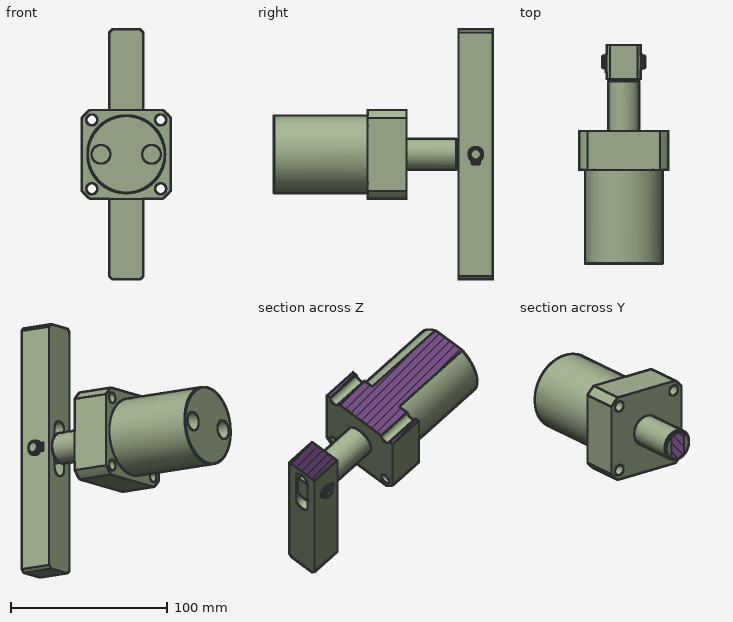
import cadquery as cq


BARREL_DIAMETER = 50.0
BARREL_LENGTH = 60.0
BARREL_CHAMFER = 0.5
FLANGE_SIDE = 57.0
FLANGE_THICKNESS = 25.0
FLANGE_CORNER_DIAMETER = 73.6
MOUNT_HOLE_DIAMETER = 6.9
MOUNT_HOLE_SPACING = 44.0
PORT_DIAMETER = 12.0
PORT_SPACING = 32.3
PORT_DEPTH = 12.0
FLANGE_BACK = BARREL_LENGTH + FLANGE_THICKNESS

TOTAL_LENGTH = 140.0
ARM_LENGTH = 160
ARM_SIDE = 22.0
ARM_CHAMFER = 2.0
SLOT_WIDTH = 10.2
SLOT_LENGTH = 35.8
ARM_FRONT = TOTAL_LENGTH - ARM_SIDE
PIN_SETBACK = 10.9
PIN_Y = TOTAL_LENGTH - PIN_SETBACK

ROD_DIAMETER = 20.0
ROD_CHAMFER = 1.0
ROD_GAP = 0.6
ROD_END = ARM_FRONT - ROD_GAP
TONGUE_DIAMETER = ROD_DIAMETER - 2 * ROD_CHAMFER
TONGUE_LENGTH = PIN_Y + TONGUE_DIAMETER / 2 - ROD_END

PIN_DIAMETER = 8.3
PIN_LENGTH = 27.5
PIN_CHAMFER = 0.8

RING_THICKNESS = 0.8
RING_STARTS = (-ARM_SIDE / 2 - RING_THICKNESS, ARM_SIDE / 2)
LUG_ANGLES = (0, 90)
RING_OUTER_DIAMETER = 9.5
GROOVE_DIAMETER = 7.4
LUG_REACH = 6.5
LUG_WIDTH = 5.5
LUG_CORNER_CHAMFER = 0.6
RECESS_REACH = 5.5
RECESS_WIDTH = 3.4
LUG_GAP = 0.6


def along_y(start):
    """Work plane facing +Y at Y = start, with local x along +X and local y along +Z."""
    return cq.Workplane("XZ", origin=(0, start, 0))


def cylinder_y(diameter, start, length):
    return along_y(start).circle(diameter / 2).extrude(-length)


def make_housing():
    barrel = cylinder_y(BARREL_DIAMETER, 0, BARREL_LENGTH).faces("<Y").chamfer(BARREL_CHAMFER)
    flange = along_y(BARREL_LENGTH).rect(FLANGE_SIDE, FLANGE_SIDE).extrude(-FLANGE_THICKNESS)
    flange = flange.intersect(cylinder_y(FLANGE_CORNER_DIAMETER, BARREL_LENGTH, FLANGE_THICKNESS))
    mount_holes = (
        along_y(BARREL_LENGTH)
        .rect(MOUNT_HOLE_SPACING, MOUNT_HOLE_SPACING, forConstruction=True)
        .vertices()
        .circle(MOUNT_HOLE_DIAMETER / 2)
        .extrude(-FLANGE_THICKNESS)
    )
    ports = (
        along_y(0)
        .pushPoints([(-PORT_SPACING / 2, 0), (PORT_SPACING / 2, 0)])
        .circle(PORT_DIAMETER / 2)
        .extrude(-PORT_DEPTH)
    )
    return barrel.union(flange).cut(mount_holes).cut(ports)


def make_pin_bore():
    """Cylinder across X that clears the pivot pin."""
    return (
        cq.Workplane("YZ", origin=(0, PIN_Y, 0))
        .circle(PIN_DIAMETER / 2)
        .extrude(ARM_SIDE / 2, both=True)
    )


def make_rod():
    shaft = cylinder_y(ROD_DIAMETER, FLANGE_BACK, ROD_END - FLANGE_BACK)
    shaft = shaft.faces(">Y").chamfer(ROD_CHAMFER)
    tongue = cylinder_y(TONGUE_DIAMETER, ROD_END, TONGUE_LENGTH)
    flats = along_y(ROD_END).rect(SLOT_WIDTH, TONGUE_DIAMETER).extrude(-TONGUE_LENGTH)
    return shaft.union(tongue.intersect(flats)).cut(make_pin_bore())


def make_arm():
    bar = (
        along_y(ARM_FRONT)
        .rect(ARM_SIDE, ARM_LENGTH)
        .extrude(-ARM_SIDE)
        .edges("|Y")
        .chamfer(ARM_CHAMFER)
    )
    slot = along_y(ARM_FRONT).slot2D(SLOT_LENGTH, SLOT_WIDTH, 90).extrude(-ARM_SIDE)
    return bar.cut(slot).cut(make_pin_bore())


def make_pin():
    pin = (
        cq.Workplane("YZ", origin=(-PIN_LENGTH / 2, PIN_Y, 0))
        .circle(PIN_DIAMETER / 2)
        .extrude(PIN_LENGTH)
        .faces("<X or >X")
        .chamfer(PIN_CHAMFER)
    )
    for groove_x in RING_STARTS:
        groove = (
            cq.Workplane("YZ", origin=(groove_x, PIN_Y, 0))
            .circle(PIN_DIAMETER / 2)
            .circle(GROOVE_DIAMETER / 2)
            .extrude(RING_THICKNESS)
        )
        pin = pin.cut(groove)
    return pin


def make_ring(start_x, lug_angle):
    """Open ring with two lugs on its -Y side, turned about the pin by lug_angle.

    The lugs enclose a wide recess next to the pin and nearly meet at their tips.
    """
    plane = cq.Workplane("YZ", origin=(start_x, PIN_Y, 0))

    def strip(reach, width):
        """Bar from the pin axis out to `reach` along -Y."""
        return plane.center(-reach / 2, 0).rect(reach, width).extrude(RING_THICKNESS)

    ring = plane.circle(RING_OUTER_DIAMETER / 2).extrude(RING_THICKNESS)
    lugs = strip(LUG_REACH, LUG_WIDTH).faces("<Y").edges("|X").chamfer(LUG_CORNER_CHAMFER)
    bore = plane.circle(GROOVE_DIAMETER / 2).extrude(RING_THICKNESS)
    recess = strip(RECESS_REACH, RECESS_WIDTH)
    gap = strip(LUG_REACH, LUG_GAP)
    ring = ring.union(lugs).cut(bore).cut(recess).cut(gap)
    return ring.rotate((0, PIN_Y, 0), (1, PIN_Y, 0), lug_angle)


housing = make_housing()
rod = make_rod()
arm = make_arm()
pin = make_pin()
rings = [make_ring(start_x, lug_angle) for start_x, lug_angle in zip(RING_STARTS, LUG_ANGLES)]

result = cq.Compound.makeCompound(
    [housing.val(), rod.val(), arm.val(), pin.val(), *[ring.val() for ring in rings]]
)